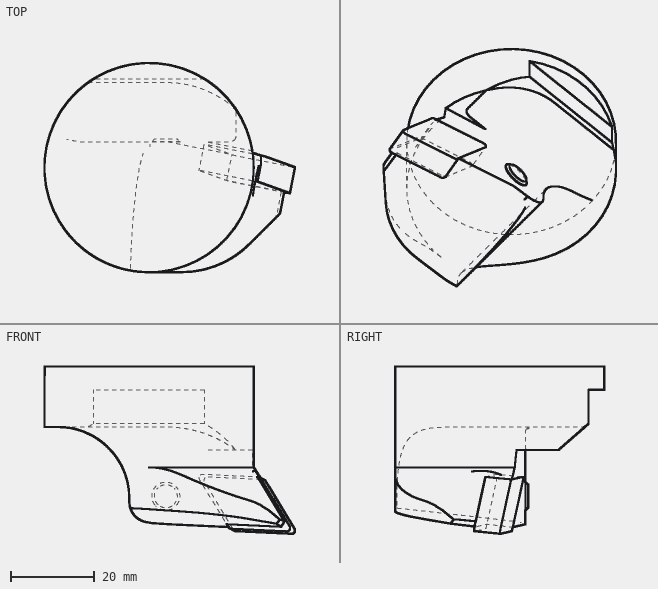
import cadquery as cq
import math


shank_radius = 25.0
head_depth = 40.0
reach = 34.87
oversize = 60.0

cutaway_ceiling = -14.5
cutaway_radius = 16.9
arm_left = -4.74
arm_straight = 0.9
arm_corner_radius = 5.0

underside_z = -37.4
underside_slope_x = -0.068
underside_slope_y = -0.106

chip_wall_y = 6.1
pocket_ceiling = -20.0
pocket_sweep_radius = 27.0
pocket_fillet = 1.2

flat_y = 21.2
flat_top = -5.6
chamfer_top = -13.7
chamfer_inner_y = 14.0

flare_top = -24.1
flare_angle = 33.0
lip_straight = 7.7
lip_arc_radius = 23.0
lip_turn = 45.0
lip_corner_x = 31.3

button_diameter = 6.7
button_height = 0.7
button_chamfer = 0.6
button_x = 4.0
button_z = -31.0

inscribed_circle = 12.7
insert_thickness = 6.35
insert_angle = 55.0
nose_radius = 0.8
radial_rake = 11.0
axial_rake = 5.7
lead_angle = 2.7
tip_y = 0.25
flank_setback = 0.45
flank_overrun = 1.1
flank_fillet = 2.58
tip_land = 3.05

rake_x = math.tan(math.radians(radial_rake))
rake_z = math.tan(math.radians(axial_rake))
lead = math.tan(math.radians(lead_angle))

rake_normal = cq.Vector(rake_x, 1, -rake_z).normalized()
edge_direction = cq.Vector(-1, rake_x + rake_z * lead, lead).normalized()
edge_up = rake_normal.cross(edge_direction)

nose_center = cq.Vector(
    reach - nose_radius * math.sqrt(1 - rake_normal.x ** 2),
    tip_y,
    -head_depth + nose_radius * math.sqrt(1 - rake_normal.z ** 2),
)
half_angle = math.radians(insert_angle / 2)
sharp_corner = nose_center - edge_direction * (nose_radius / math.tan(half_angle)) - edge_up * nose_radius
rake_plane = cq.Plane(origin=sharp_corner, xDir=edge_direction, normal=rake_normal)


def make_insert():
    edge = inscribed_circle / math.sin(math.radians(insert_angle))
    lean = edge * math.cos(math.radians(insert_angle))
    return (
        cq.Workplane(rake_plane)
        .polyline([(0, 0), (edge, 0), (edge + lean, inscribed_circle), (lean, inscribed_circle)])
        .close()
        .extrude(-insert_thickness)
        .edges(cq.selectors.ParallelDirSelector(rake_normal))
        .fillet(nose_radius)
    )


def make_lip():
    turn = math.radians(lip_turn)
    arc_end_x = lip_straight + lip_arc_radius * math.sin(turn)
    arc_end_y = -shank_radius + lip_arc_radius * (1 - math.cos(turn))
    arc_mid_x = lip_straight + lip_arc_radius * math.sin(turn / 2)
    arc_mid_y = -shank_radius + lip_arc_radius * (1 - math.cos(turn / 2))
    lip_corner_y = arc_end_y + (lip_corner_x - arc_end_x) * math.tan(turn)
    outline = (
        cq.Workplane("XY", origin=(0, 0, -head_depth))
        .moveTo(0, -shank_radius)
        .lineTo(lip_straight, -shank_radius)
        .threePointArc((arc_mid_x, arc_mid_y), (arc_end_x, arc_end_y))
        .lineTo(lip_corner_x, lip_corner_y)
        .lineTo(reach, chip_wall_y)
        .lineTo(0, chip_wall_y)
        .close()
        .extrude(head_depth + flare_top)
    )
    flare_depth = head_depth + flare_top
    flare_radius = shank_radius + flare_depth * math.tan(math.radians(flare_angle))
    flare = (
        cq.Workplane("XZ")
        .polyline([(0, flare_top), (shank_radius, flare_top), (flare_radius, -head_depth), (0, -head_depth)])
        .close()
        .revolve(360, (0, 0), (0, 1))
    )
    return outline.intersect(flare)


def left_cutaway():
    center_x = arm_left - cutaway_radius
    center_z = cutaway_ceiling - cutaway_radius
    diagonal = math.sqrt(0.5)
    corner_top = center_z - arm_straight
    corner_x = arm_left + arm_corner_radius
    return (
        cq.Workplane("XZ", origin=(0, oversize / 2, 0))
        .moveTo(-oversize, cutaway_ceiling)
        .lineTo(center_x, cutaway_ceiling)
        .threePointArc(
            (center_x + cutaway_radius * diagonal, center_z + cutaway_radius * diagonal),
            (arm_left, center_z),
        )
        .lineTo(arm_left, corner_top)
        .threePointArc(
            (corner_x - arm_corner_radius * diagonal, corner_top - arm_corner_radius * diagonal),
            (corner_x, corner_top - arm_corner_radius),
        )
        .lineTo(corner_x, -oversize)
        .lineTo(-oversize, -oversize)
        .close()
        .extrude(oversize)
    )


def underside_cut():
    normal = cq.Vector(-underside_slope_x, -underside_slope_y, 1)
    plane = cq.Plane(origin=(0, chip_wall_y, underside_z), xDir=(1, 0, underside_slope_x), normal=normal)
    return cq.Workplane(plane).rect(2 * oversize, 2 * oversize).extrude(-oversize)


def chip_pocket():
    drop = cutaway_ceiling - pocket_ceiling
    sweep = math.acos(1 - drop / pocket_sweep_radius)
    sweep_end = math.sqrt(shank_radius ** 2 - chamfer_inner_y ** 2)
    sweep_start = sweep_end - pocket_sweep_radius * math.sin(sweep)
    mid_x = sweep_start + pocket_sweep_radius * math.sin(sweep / 2)
    mid_z = cutaway_ceiling - pocket_sweep_radius * (1 - math.cos(sweep / 2))
    return (
        cq.Workplane("XZ", origin=(0, chip_wall_y, 0))
        .moveTo(-oversize, cutaway_ceiling)
        .lineTo(sweep_start, cutaway_ceiling)
        .threePointArc((mid_x, mid_z), (sweep_end, pocket_ceiling))
        .lineTo(oversize, pocket_ceiling)
        .lineTo(oversize, -oversize)
        .lineTo(-oversize, -oversize)
        .close()
        .extrude(-oversize)
        .faces("<Y")
        .edges(">Z or (not (<Z or <X or >X))")
        .fillet(pocket_fillet)
    )


def below(level):
    return cq.Workplane("XY", origin=(0, 0, level)).rect(3 * oversize, 3 * oversize).extrude(-oversize)


def rake_cut():
    above_face = cq.Workplane(rake_plane).rect(2 * oversize, 2 * oversize).extrude(oversize)
    return above_face.intersect(below(pocket_ceiling))


def flank_recess():
    angle = math.radians(insert_angle)
    length = inscribed_circle / math.sin(angle) + flank_overrun
    foot_x = flank_setback / math.sin(angle)
    turn_x = foot_x + length * math.cos(angle)
    turn_y = length * math.sin(angle)
    recess = (
        cq.Workplane(rake_plane)
        .polyline([(foot_x, 0), (turn_x, turn_y), (turn_x, oversize), (-oversize, oversize), (-oversize, 0)])
        .close()
        .extrude(oversize / 2, both=True)
    )
    turn_edge = cq.selectors.NearestToPointSelector(rake_plane.toWorldCoords((turn_x, turn_y)).toTuple())
    return recess.edges(turn_edge).fillet(flank_fillet).intersect(below(flare_top))


def tip_cut(outward):
    plane = cq.Plane(origin=sharp_corner - outward * tip_land, xDir=rake_normal, normal=outward)
    return cq.Workplane(plane).rect(2 * oversize, 2 * oversize).extrude(oversize).intersect(below(flare_top))


def side_flat():
    return (
        cq.Workplane("YZ", origin=(-oversize / 2, 0, 0))
        .polyline([
            (flat_y, flat_top),
            (oversize, flat_top),
            (oversize, pocket_ceiling),
            (chamfer_inner_y, pocket_ceiling),
            (flat_y, chamfer_top),
        ])
        .close()
        .extrude(oversize)
    )


def make_button():
    return (
        cq.Workplane("XZ", origin=(button_x, chip_wall_y, button_z))
        .circle(button_diameter / 2)
        .extrude(-button_height)
        .faces(">Y")
        .chamfer(button_chamfer)
    )


def make_holder(insert):
    tip_outward = edge_direction * -math.cos(half_angle) - edge_up * math.sin(half_angle)
    holder = cq.Workplane("XY").circle(shank_radius).extrude(-head_depth)
    holder = holder.union(make_lip())
    holder = holder.cut(left_cutaway())
    holder = holder.cut(underside_cut())
    holder = holder.cut(chip_pocket())
    holder = holder.cut(rake_cut())
    holder = holder.cut(flank_recess())
    holder = holder.cut(tip_cut(tip_outward))
    holder = holder.cut(side_flat())
    holder = holder.union(make_button())
    return holder.cut(insert)


insert = make_insert()
holder = make_holder(insert)

result = cq.Compound.makeCompound([holder.val(), insert.val()])